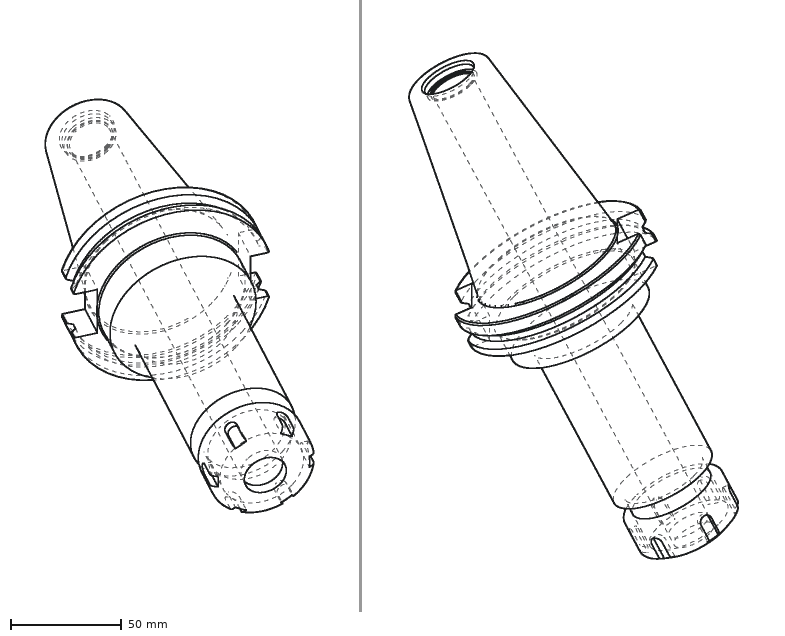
import cadquery as cq
import math


bore_dia = 20.0
step_dia = 21.9
mouth_dia = 25.0
mouth_rim_dia = 26.5
mouth_chamfer = 1.5
mouth_depth = 4.3
step_depth = 5.0

gauge_dia = 70.0
gauge_x = 101.5
taper_slope = 7 / 48
small_end_fillet = 2.0

flange_dia = 97.3
flange_start = 102.7
flange_end = 120.5
flange_chamfer = 0.8
root_fillet = 0.8
groove_center = 112.9
groove_floor_width = 3.0
groove_top_width = 7.5
groove_depth = 3.0

drive_slot_width = 25.7
drive_slot_chamfer = 0.8
drive_slot_floor_near = 35.3
drive_slot_floor_far = 37.9

collar_end = 137.0
shank_dia = 50.0
shank_fillet = 3.0
shank_end = 222.1
nose_dia = 40.0
nose_end = 248.8

nut_dia = shank_dia
nut_start = 231.3
nut_end = 254.2
nut_fillet = 2.3
nut_face_dia = 36.0
nut_cone_angle = 60
nut_shoulder_fillet = 2.3
nut_face_fillet = 4.5

spanner_count = 6
spanner_width = 6.0
spanner_tip_x = 239.0
spanner_floor = 21.9


def revolve_about_x(profile):
    return profile.close().revolve(360, (0, 0, 0), (1, 0, 0))


def make_body_blank():
    """Taper, flange, collar, shank and nose as one turned shape."""
    gauge_r = gauge_dia / 2
    flange_r = flange_dia / 2
    shank_r = shank_dia / 2
    taper_end_r = gauge_r + taper_slope * (flange_start - root_fillet - gauge_x)
    groove_r = flange_r - groove_depth
    profile = (
        cq.Workplane("XY")
        .lineTo(0, gauge_r - taper_slope * gauge_x)
        .lineTo(flange_start - root_fillet, taper_end_r)
        .radiusArc((flange_start, taper_end_r + root_fillet), -root_fillet)
        .lineTo(flange_start, flange_r - flange_chamfer)
        .lineTo(flange_start + flange_chamfer, flange_r)
        .lineTo(groove_center - groove_top_width / 2, flange_r)
        .lineTo(groove_center - groove_floor_width / 2, groove_r)
        .lineTo(groove_center + groove_floor_width / 2, groove_r)
        .lineTo(groove_center + groove_top_width / 2, flange_r)
        .lineTo(flange_end, flange_r)
        .lineTo(flange_end, gauge_r + root_fillet)
        .radiusArc((flange_end + root_fillet, gauge_r), -root_fillet)
        .lineTo(collar_end, gauge_r)
        .lineTo(collar_end, shank_r + shank_fillet)
        .radiusArc((collar_end + shank_fillet, shank_r), -shank_fillet)
        .lineTo(shank_end, shank_r)
        .lineTo(shank_end, nose_dia / 2 + root_fillet)
        .radiusArc((shank_end + root_fillet, nose_dia / 2), -root_fillet)
        .lineTo(nose_end, nose_dia / 2)
        .lineTo(nose_end, 0)
    )
    return revolve_about_x(profile).faces("<X").edges().fillet(small_end_fillet)


def make_body_bore():
    """Stepped bore: chamfered mouth, short step, then the through hole."""
    profile = (
        cq.Workplane("XY")
        .lineTo(0, mouth_rim_dia / 2)
        .lineTo(mouth_chamfer, mouth_dia / 2)
        .lineTo(mouth_depth, mouth_dia / 2)
        .lineTo(mouth_depth, step_dia / 2)
        .lineTo(step_depth, step_dia / 2)
        .lineTo(step_depth, bore_dia / 2)
        .lineTo(nose_end, bore_dia / 2)
        .lineTo(nose_end, 0)
    )
    return revolve_about_x(profile)


def make_drive_slot(side, floor):
    """Block that cuts one drive slot with a flared mouth; side is -1 or +1 along Y."""
    flange_r = flange_dia / 2
    half = drive_slot_width / 2
    flare_start = math.sqrt(flange_r**2 - half**2) - drive_slot_chamfer
    mouth_half = half + flange_r - flare_start
    return (
        cq.Workplane("YZ", origin=(flange_start, 0, 0))
        .moveTo(side * floor, half)
        .lineTo(side * flare_start, half)
        .lineTo(side * flange_r, mouth_half)
        .lineTo(side * flange_r, -mouth_half)
        .lineTo(side * flare_start, -half)
        .lineTo(side * floor, -half)
        .close()
        .extrude(flange_end - flange_start)
    )


def make_holder():
    return (
        make_body_blank()
        .cut(make_body_bore())
        .cut(make_drive_slot(-1, drive_slot_floor_near))
        .cut(make_drive_slot(1, drive_slot_floor_far))
    )


def make_spanner_slot():
    """Round-ended block for the spanner slot on the -Y side."""
    half = spanner_width / 2
    return (
        cq.Workplane("XZ", origin=(0, -spanner_floor, 0))
        .moveTo(nut_end, half)
        .lineTo(spanner_tip_x + half, half)
        .threePointArc((spanner_tip_x, 0), (spanner_tip_x + half, -half))
        .lineTo(nut_end, -half)
        .close()
        .extrude(nut_dia / 2)
    )


def make_nut():
    cone_length = (nut_dia - nut_face_dia) / 2 / math.tan(math.radians(nut_cone_angle))
    shoulder_x = nut_end - cone_length
    profile = (
        cq.Workplane("XY")
        .moveTo(nut_start, nose_dia / 2)
        .lineTo(nut_start, nut_dia / 2 - nut_fillet)
        .radiusArc((nut_start + nut_fillet, nut_dia / 2), nut_fillet)
        .lineTo(shoulder_x, nut_dia / 2)
        .lineTo(nut_end, nut_face_dia / 2)
        .lineTo(nut_end, bore_dia / 2)
        .lineTo(nose_end, bore_dia / 2)
        .lineTo(nose_end, nose_dia / 2)
    )
    nut = revolve_about_x(profile)
    nut = nut.edges(cq.selectors.RadiusNthSelector(-1)).edges(">X").fillet(nut_shoulder_fillet)
    nut = nut.faces(">X").edges(cq.selectors.RadiusNthSelector(-1)).fillet(nut_face_fillet)
    slot = make_spanner_slot()
    for index in range(spanner_count):
        angle = index * 360 / spanner_count
        nut = nut.cut(slot.rotate((0, 0, 0), (1, 0, 0), angle))
    return nut


holder = make_holder()
nut = make_nut()

result = cq.Compound.makeCompound([holder.val(), nut.val()])